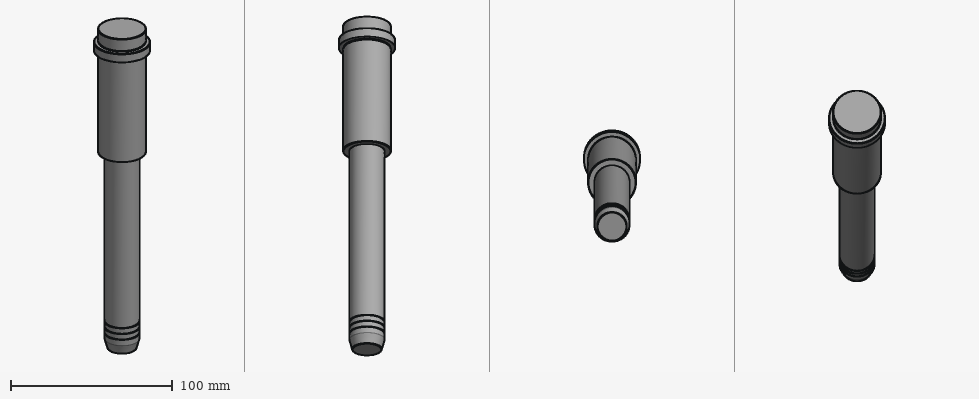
import cadquery as cq

total_length = 220.0
shaft_radius = 22.0 / 2
body_radius = 30.0 / 2
flange_radius = 35.0 / 2

body_bottom = 134.9
flange_height = 6.0
head_height = 9.0
flange_top = total_length - head_height
flange_bottom = flange_top - flange_height

edge_break = 0.5

undercut_depth = 0.5
undercut_radius = body_radius - undercut_depth
upper_undercut_width = 0.7
lower_undercut_width = 1.0

taper_height = 6.8
tip_radius = 9.2

groove_count = 3
groove_pitch = 4.0
groove_width = 0.5
groove_depth = 0.2


def make_pin():
    """Revolve the half profile of the whole pin, listed from the tip upward."""
    tip = [
        (0, 0),
        (tip_radius - edge_break, 0),
        (tip_radius, edge_break),
        (shaft_radius, taper_height),
    ]
    body = [
        (shaft_radius, body_bottom),
        (body_radius - edge_break, body_bottom),
        (body_radius, body_bottom + edge_break),
    ]
    lower_undercut = [
        (body_radius, flange_bottom - lower_undercut_width),
        (undercut_radius, flange_bottom - lower_undercut_width + undercut_depth),
        (undercut_radius, flange_bottom),
    ]
    flange = [
        (flange_radius, flange_bottom),
        (flange_radius, flange_top - edge_break),
        (flange_radius - edge_break, flange_top),
    ]
    upper_undercut = [
        (undercut_radius, flange_top),
        (undercut_radius, flange_top + upper_undercut_width),
        (body_radius, flange_top + upper_undercut_width),
    ]
    head = [
        (body_radius, total_length - edge_break),
        (body_radius - edge_break, total_length),
        (0, total_length),
    ]
    profile = tip + body + lower_undercut + flange + upper_undercut + head
    return cq.Workplane("XZ").polyline(profile).close().revolve(360, (0, 0, 0), (0, 1, 0))


def groove_cutter(center_height):
    """Ring that cuts one square groove into the shaft."""
    return (
        cq.Workplane("XY")
        .workplane(offset=center_height - groove_width / 2)
        .circle(body_radius)
        .circle(shaft_radius - groove_depth)
        .extrude(groove_width)
    )


result = make_pin()
for index in range(groove_count):
    result = result.cut(groove_cutter(taper_height + (index + 1) * groove_pitch))